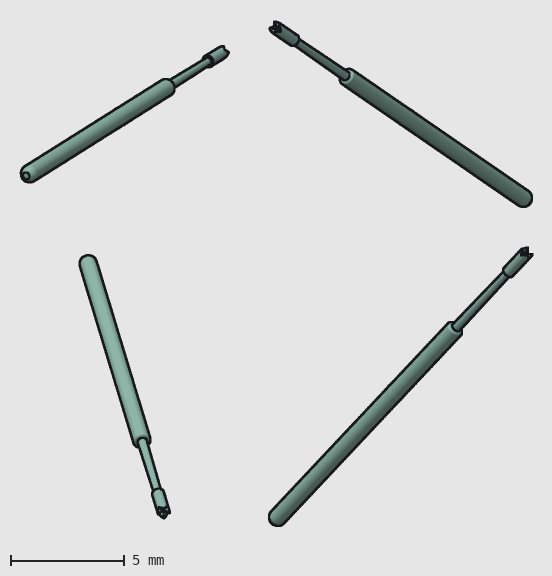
import cadquery as cq
import math

total_length = 19.3
head_length = 1.5
plunger_reach = 3.94
tail_height = 0.33
bead_start = 9.0
bead_length = 0.4

barrel_diameter = 0.78
bead_diameter = 0.80
head_diameter = 0.54
plunger_mouth_diameter = 0.42
plunger_neck_diameter = 0.35
tail_flat_diameter = 0.32
mouth_fillet = 0.12

crown_depth = 0.24
groove_angle = 45

barrel_radius = barrel_diameter / 2
head_base = total_length - head_length
barrel_mouth = head_base - plunger_reach
tail_end = -total_length / 2


def make_barrel():
    """Barrel with rounded tail, slightly bulged bead and rounded mouth edge."""
    flat_radius = tail_flat_diameter / 2
    inset = barrel_radius - flat_radius
    tail_radius = (inset**2 + tail_height**2) / (2 * inset)
    half_sweep = math.asin(tail_height / tail_radius) / 2
    arc_middle = (
        barrel_radius - tail_radius * (1 - math.cos(half_sweep)),
        tail_height - tail_radius * math.sin(half_sweep),
    )
    bead_end = bead_start + bead_length
    profile = (
        cq.Workplane("XY")
        .lineTo(flat_radius, 0)
        .threePointArc(arc_middle, (barrel_radius, tail_height))
        .lineTo(barrel_radius, bead_start)
        .threePointArc(
            (bead_diameter / 2, bead_start + bead_length / 2),
            (barrel_radius, bead_end),
        )
        .lineTo(barrel_radius, barrel_mouth - mouth_fillet)
        .radiusArc((barrel_radius - mouth_fillet, barrel_mouth), -mouth_fillet)
        .lineTo(0, barrel_mouth)
        .close()
    )
    return profile.revolve(360, (0, 0, 0), (0, 1, 0))


def make_plunger():
    """Plunger tapering slightly from the barrel mouth to a cylindrical head."""
    head_radius = head_diameter / 2
    profile = (
        cq.Workplane("XY")
        .moveTo(0, barrel_mouth)
        .lineTo(plunger_mouth_diameter / 2, barrel_mouth)
        .lineTo(plunger_neck_diameter / 2, head_base)
        .lineTo(head_radius, head_base)
        .lineTo(head_radius, total_length)
        .lineTo(0, total_length)
        .close()
    )
    return profile.revolve(360, (0, 0, 0), (0, 1, 0))


def make_crown_groove(angle):
    """V groove across the head end, turned about the probe axis.

    Its walls meet the head end exactly at the crown points on the rim.
    """
    half_width = head_diameter / 2 * math.sin(math.radians(groove_angle))
    groove = (
        cq.Workplane("XY")
        .moveTo(0, total_length - crown_depth)
        .lineTo(half_width, total_length)
        .lineTo(-half_width, total_length)
        .close()
        .extrude(head_diameter, both=True)
    )
    return groove.rotate((0, 0, 0), (0, 1, 0), angle)


probe = make_barrel().union(make_plunger())
for direction in (1, -1):
    probe = probe.cut(make_crown_groove(direction * groove_angle))

result = probe.translate((0, tail_end, 0))